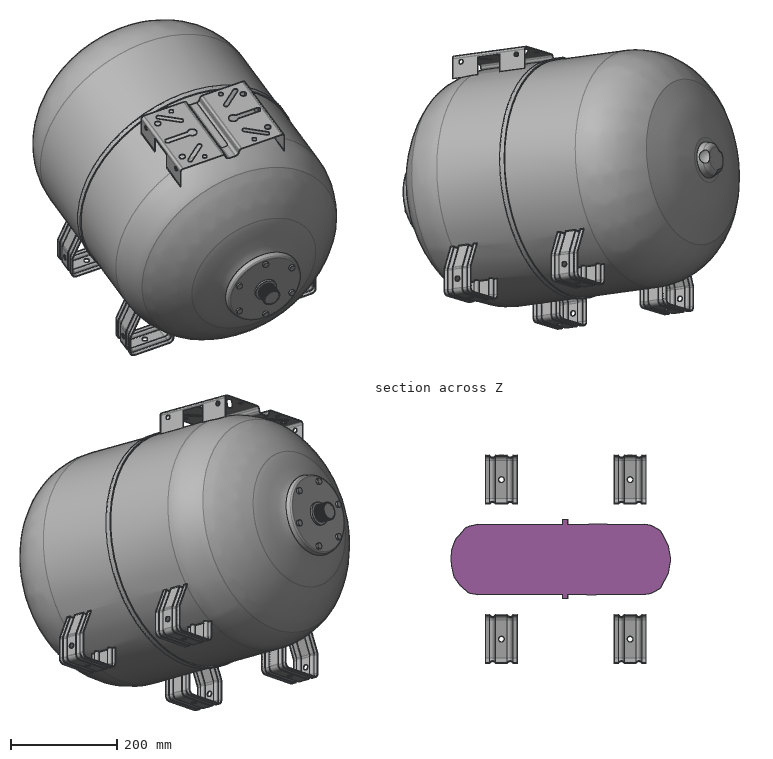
import cadquery as cq
import math


part_half_height = 480.0 / 2

tank_radius = 225.0
shell_start_x = 168.0
shell_end_x = 482.0
left_knuckle_radius = 132.0
crown_x = 52.0
crown_edge_radius = 157.0
crown_sphere_radius = 368.0
cap_seat_x = 20.0
cap_seat_radius = 43.0
band_x = 328.0
band_width = 10.0
band_radius = 455.0 / 2

shoulder_x = 552.0
shoulder_edge_radius = 205.0
shoulder_arc_radius = 133.5
shoulder_middle = (584.5, 174.0)
skirt_x = 613.0
skirt_radius = 131.0
skirt_middle = (623.0, 104.0)
throat = (635.5, 66.0)
neck_radius = 108.0 / 2

cap_radius = 34.5
cap_round_middle = (3.0, 28.0)
cap_shoulder_x = 9.0
cap_shoulder_radius = 32.0
cap_face_radius = 22.0
grip_count = 3
grip_sphere_radius = 20.5
grip_sphere_x = -3.5
grip_sphere_offset = 41.0

flange_x = 648.5
flange_back_radius = 78.0
flange_front_radius = 76.0
flange_face_x = 660.0
flange_face_radius = 145.0 / 2
bolt_count = 6
bolt_circle_radius = 64.0
bolt_head_radius = 12.0 / 2
bolt_shank_radius = 4.0
bolt_tip_x = 642.0
bolt_tip_chamfer = 2.0
bolt_head_end_x = 664.5
boss_radius = 22.0
pipe_end_x = 688.5
thread_major_radius = 17.0
thread_minor_radius = 30.0 / 2
thread_count = 10

bracket_x = 442.0
bracket_length = 164.0
bracket_half_width = 110.0
bracket_bottom_z = 195.5
bracket_thickness = 1.7
bracket_bend_radius = 6.0
channel_top_half_width = 15.0
channel_floor_half_width = 11.0
channel_floor_z = 226.5
window_width = 49.5
window_top_z = 230.5
side_hole_offset = 62.5
side_hole_z = 226.0
small_hole_diameter = 9.0
large_hole_diameter = 12.0
small_hole_place = (69.5, 52.0)
large_hole_place = (51.0, 90.0)
slot_width = 9.0
slot_inner_end = (38.5, 47.5)
slot_outer_end = (66.0, 81.0)
keyhole_diameter = 18.0
keyhole_slot_width = 10.0
keyhole_y = 43.5
keyhole_slot_end_y = 100.5

foot_xs = (213.0, 455.0)
foot_width = 60.0
foot_outer_y = 196.0
foot_inner_y = 104.0
foot_knee_z = -190.0
foot_bend_radius = 10.0
foot_top_outer = (168.0, -128.0)
foot_top_inner_z = -186.0
foot_thickness = 2.0
groove_centre = 16.5
groove_half_width = 5.5
groove_depth = 3.5
foot_hole_diameter = 10.0
foot_side_hole_z = -211.5
foot_base_hole_y = (foot_outer_y + foot_inner_y) / 2


def revolved(profile):
    """Revolve a closed profile drawn as (x, radius) about the X axis."""
    return profile.close().revolve(360, (0, 0, 0), (1, 0, 0))


def x_cylinder(start_x, end_x, radius, y=0, z=0):
    return cq.Workplane("YZ", origin=(start_x, y, z)).circle(radius).extrude(end_x - start_x)


def swept_sheet(points, bend_radius, section_wire):
    """Sweep a sheet section along a bent path given as (y, z) corner points."""
    path = cq.Wire.makePolygon([cq.Vector(0, y, z) for y, z in points])
    bends = path.Vertices()[1:-1]
    path = path.fillet(bend_radius, bends)
    return section_wire.sweep(cq.Workplane(path))


def make_vessel():
    profile = (
        cq.Workplane("XY")
        .moveTo(cap_seat_x, 0)
        .lineTo(cap_seat_x, cap_seat_radius)
        .radiusArc((crown_x, crown_edge_radius), crown_sphere_radius)
        .radiusArc((shell_start_x, tank_radius), left_knuckle_radius)
        .lineTo(shell_end_x, tank_radius)
        .radiusArc((shoulder_x, shoulder_edge_radius), shoulder_arc_radius)
        .threePointArc(shoulder_middle, (skirt_x, skirt_radius))
        .spline([skirt_middle, throat, (flange_x, neck_radius)], includeCurrent=True)
        .lineTo(flange_x, 0)
    )
    band = x_cylinder(band_x, band_x + band_width, band_radius)
    return revolved(profile).union(band)


def make_cap():
    profile = (
        cq.Workplane("XY")
        .lineTo(0, cap_face_radius)
        .threePointArc(cap_round_middle, (cap_shoulder_x, cap_shoulder_radius))
        .lineTo(cap_seat_x, cap_radius)
        .lineTo(cap_seat_x, 0)
    )
    cap = revolved(profile)
    for i in range(grip_count):
        angle = 2 * math.pi * i / grip_count
        centre = (
            grip_sphere_x,
            grip_sphere_offset * math.cos(angle),
            grip_sphere_offset * math.sin(angle),
        )
        cap = cap.cut(cq.Workplane("XY").sphere(grip_sphere_radius).translate(centre))
    return cap


def make_flange():
    """Slightly tapered flange with a rounded front edge and a ring of bolts."""
    edge_round = flange_front_radius - flange_face_radius
    profile = (
        cq.Workplane("XY")
        .moveTo(flange_x, 0)
        .lineTo(flange_x, flange_back_radius)
        .lineTo(flange_face_x - edge_round, flange_front_radius)
        .radiusArc((flange_face_x, flange_face_radius), edge_round)
        .lineTo(flange_face_x, 0)
    )
    flange = revolved(profile)
    for i in range(bolt_count):
        angle = math.pi / 2 + 2 * math.pi * i / bolt_count
        y = bolt_circle_radius * math.cos(angle)
        z = bolt_circle_radius * math.sin(angle)
        shank = x_cylinder(bolt_tip_x, flange_face_x, bolt_shank_radius, y, z)
        shank = shank.faces("<X").chamfer(bolt_tip_chamfer)
        head = x_cylinder(flange_face_x, bolt_head_end_x, bolt_head_radius, y, z)
        flange = flange.union(shank).union(head)
    return flange


def make_pipe():
    """Boss and externally threaded pipe; the thread is a row of V-shaped rings."""
    pitch = (pipe_end_x - bolt_head_end_x) / thread_count
    profile = (
        cq.Workplane("XY")
        .moveTo(flange_face_x, 0)
        .lineTo(flange_face_x, boss_radius)
        .lineTo(bolt_head_end_x, boss_radius)
        .lineTo(bolt_head_end_x, thread_minor_radius)
    )
    for i in range(thread_count):
        root_x = bolt_head_end_x + i * pitch
        profile = profile.lineTo(root_x + pitch / 2, thread_major_radius)
        profile = profile.lineTo(root_x + pitch, thread_minor_radius)
    return revolved(profile.lineTo(pipe_end_x, 0))


def make_bracket():
    half_path = [
        (bracket_half_width, bracket_bottom_z),
        (bracket_half_width, part_half_height),
        (channel_top_half_width, part_half_height),
        (channel_floor_half_width, channel_floor_z),
    ]
    path = half_path + [(-y, z) for y, z in reversed(half_path)]
    section_y = bracket_half_width - bracket_thickness / 2
    section = (
        cq.Workplane("XY", origin=(0, section_y, bracket_bottom_z))
        .rect(bracket_length, bracket_thickness)
    )
    bracket = swept_sheet(path, bracket_bend_radius, section)

    window_height = window_top_z - bracket_bottom_z
    side_openings = (
        cq.Workplane("XZ")
        .center(0, window_top_z - window_height / 2)
        .rect(window_width, window_height)
        .extrude(bracket_half_width, both=True)
    ).union(
        cq.Workplane("XZ")
        .pushPoints([(-side_hole_offset, side_hole_z), (side_hole_offset, side_hole_z)])
        .circle(small_hole_diameter / 2)
        .extrude(bracket_half_width, both=True)
    )
    middle_width = 2 * (bracket_half_width - bracket_bend_radius)
    middle_zone = cq.Workplane("XY").box(bracket_length, middle_width, 2 * part_half_height)
    bracket = bracket.cut(side_openings.cut(middle_zone))

    slot_run = (slot_outer_end[0] - slot_inner_end[0], slot_outer_end[1] - slot_inner_end[1])
    slot_length = math.hypot(*slot_run) + slot_width
    slot_angle = math.degrees(math.atan2(slot_run[1], slot_run[0]))
    slot_x = (slot_inner_end[0] + slot_outer_end[0]) / 2
    slot_y = (slot_inner_end[1] + slot_outer_end[1]) / 2
    keyhole_slot_length = keyhole_slot_end_y - keyhole_y
    top = cq.Workplane("XY", origin=(0, 0, part_half_height))
    depth = -2 * bracket_thickness
    for side_y in (-1, 1):
        keyhole_slot = top.center(0, side_y * (keyhole_y + keyhole_slot_length / 2))
        bracket = bracket.cut(keyhole_slot.slot2D(keyhole_slot_length, keyhole_slot_width, 90).extrude(depth))
        bracket = bracket.cut(top.center(0, side_y * keyhole_y).circle(keyhole_diameter / 2).extrude(depth))
        for side_x in (-1, 1):
            slot = top.center(side_x * slot_x, side_y * slot_y)
            bracket = bracket.cut(
                slot.slot2D(slot_length, slot_width, side_x * side_y * slot_angle).extrude(depth))
            for place, diameter in (
                (small_hole_place, small_hole_diameter),
                (large_hole_place, large_hole_diameter),
            ):
                hole = top.center(side_x * place[0], side_y * place[1])
                bracket = bracket.cut(hole.circle(diameter / 2).extrude(depth))
    return bracket.translate((bracket_x, 0, 0))


def foot_section(plane):
    """Sheet section with two rounded grooves pressed inward from the outer face."""
    def edge(sketch, level, direction):
        for centre in (-direction * groove_centre, direction * groove_centre):
            half = direction * groove_half_width
            sketch = sketch.lineTo(centre - half, level)
            sketch = sketch.threePointArc((centre, level + groove_depth), (centre + half, level))
        return sketch.lineTo(direction * foot_width / 2, level)

    section = plane.moveTo(-foot_width / 2, 0)
    section = edge(section, 0, 1)
    section = section.lineTo(foot_width / 2, foot_thickness)
    section = edge(section, foot_thickness, -1)
    return section.close()


def make_foot():
    """Foot on the +Y side, centred on X = 0, with both ends buried in the vessel."""
    base_z = -part_half_height
    path = [
        (foot_inner_y, foot_top_inner_z),
        (foot_inner_y, base_z),
        (foot_outer_y, base_z),
        (foot_outer_y, foot_knee_z),
        foot_top_outer,
    ]
    section_plane = cq.Workplane("XY", origin=(0, foot_inner_y, foot_top_inner_z))
    foot = swept_sheet(path, foot_bend_radius, foot_section(section_plane))
    hole_depth = foot_bend_radius
    hole_radius = foot_hole_diameter / 2
    side_plane = cq.Workplane("XZ", origin=(0, foot_outer_y, foot_side_hole_z))
    base_plane = cq.Workplane("XY", origin=(0, foot_base_hole_y, base_z))
    for plane in (side_plane, base_plane):
        foot = foot.cut(plane.circle(hole_radius).extrude(hole_depth))
    return foot


result = make_vessel().union(make_cap()).union(make_flange()).union(make_pipe()).union(make_bracket())
foot = make_foot()
for foot_x in foot_xs:
    placed_foot = foot.translate((foot_x, 0, 0))
    result = result.union(placed_foot).union(placed_foot.mirror("XZ"))